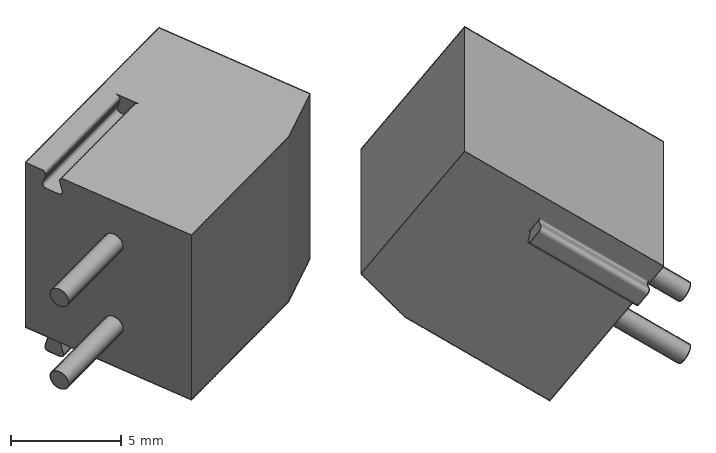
import cadquery as cq
import math

body_width = 9.0
body_depth = 11.0
body_height = 10.0
bevel_width = 0.8
bevel_depth = 3.0

pin_diameter = 1.0
pin_length = 15.5 - body_depth
pin_x = 4.8
pin_pitch = body_height / 2

flank_angle = 15
corner_radius = 0.2
groove_x = 1.47
groove_mouth_width = 0.65
groove_height = 1.02
groove_length = 6.15
rail_x = 1.5
rail_root_width = 0.64
rail_height = 0.95
rail_start = 0.1
rail_end = 6.09
rail_root_radius = 0.1


def make_body():
    return (
        cq.Workplane("XY")
        .moveTo(0, 0)
        .lineTo(body_width, 0)
        .lineTo(body_width, body_depth - bevel_depth)
        .lineTo(body_width - bevel_width, body_depth)
        .lineTo(0, body_depth)
        .close()
        .extrude(body_height)
    )


def make_pin(z):
    return cq.Workplane("XZ").center(pin_x, z).circle(pin_diameter / 2).extrude(pin_length)


def make_dovetail(x, z, neck_width, height, start, end):
    """Dovetail bar along Y, its neck at height z and its rounded wide edges below."""
    neck = neck_width / 2
    foot = neck + height * math.tan(math.radians(flank_angle))
    return (
        cq.Workplane("XZ", origin=(x, start, z))
        .polyline([(-neck, 0), (neck, 0), (foot, -height), (-foot, -height)])
        .close()
        .extrude(start - end)
        .edges("|Y and <Z")
        .fillet(corner_radius)
    )


def neck_edges(solid, x, neck_width, z, length):
    """The two edges along Y where the dovetail flanks meet the housing."""
    margin = 0.02
    half_width = neck_width / 2 + margin
    selector = cq.selectors.BoxSelector(
        (x - half_width, 0, z - margin), (x + half_width, length, z + margin)
    )
    return solid.edges(selector).edges("|Y")


groove = make_dovetail(groove_x, body_height, groove_mouth_width, groove_height, 0, groove_length)
result = make_body().cut(groove)
result = neck_edges(result, groove_x, groove_mouth_width, body_height, groove_length).fillet(corner_radius)

rail = make_dovetail(rail_x, 0, rail_root_width, rail_height, rail_start, rail_end)
result = result.union(rail)
result = neck_edges(result, rail_x, rail_root_width, 0, rail_end).fillet(rail_root_radius)

for side in (-1, 1):
    result = result.union(make_pin(body_height / 2 + side * pin_pitch / 2))